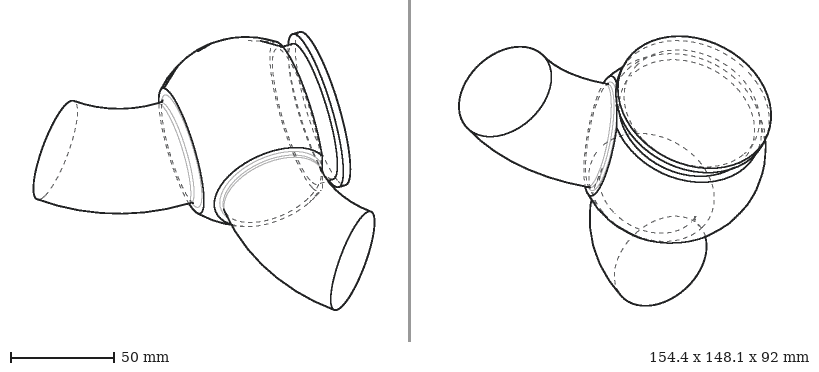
import cadquery as cq
import math

overall_length = 154.4

ball_radius = 46.0
front_face = 33.3
side_face = 35.4
clamp_face = 26.2

pipe_radius = 25.5
bend_radius = 74.1
bend_angle = 45
front_fillet = 3.0
side_fillet = 1.2

pipe_reach = overall_length - ball_radius
bend_start = pipe_reach - (bend_radius + pipe_radius) * math.sin(math.radians(bend_angle))

neck_radius = 34.3
flange_radius = 38.7
flange_end = 39.7
flange_rim = 3.7
flange_taper = 1.4


def bent_pipe():
    """Pipe along +X from the centre, then bending toward +Y."""
    angle = math.radians(bend_angle)

    def on_bend(turn):
        x = bend_start + bend_radius * math.sin(turn)
        y = bend_radius * (1 - math.cos(turn))
        return (x, y)

    path = (
        cq.Workplane("XY")
        .moveTo(bend_start, 0)
        .threePointArc(on_bend(angle / 2), on_bend(angle))
    )
    bend = cq.Workplane("YZ", origin=(bend_start, 0, 0)).circle(pipe_radius).sweep(path)
    straight = cq.Workplane("YZ").circle(pipe_radius).extrude(bend_start)
    return straight.union(bend)


def fillet_collar(face, fillet):
    """Concave ring around +X, from a port flat down to the pipe surface."""
    base_radius = pipe_radius + fillet
    end = face + fillet
    reach = fillet * (1 - math.sqrt(0.5))
    return (
        cq.Workplane("XY")
        .moveTo(0, 0)
        .lineTo(0, base_radius)
        .lineTo(face, base_radius)
        .threePointArc((face + reach, pipe_radius + reach), (end, pipe_radius))
        .lineTo(end, 0)
        .close()
        .revolve(360, (0, 0, 0), (1, 0, 0))
    )


def toward_front(solid):
    """Turn a +X port to -Y, so its bend leads toward -X."""
    return solid.mirror("XZ").rotate((0, 0, 0), (0, 0, 1), -90)


def clamp_ferrule():
    rim_start = flange_end - flange_rim
    return (
        cq.Workplane("XY")
        .moveTo(0, 0)
        .lineTo(neck_radius, 0)
        .lineTo(neck_radius, rim_start - flange_taper)
        .lineTo(flange_radius, rim_start)
        .lineTo(flange_radius, flange_end)
        .lineTo(0, flange_end)
        .close()
        .revolve(360, (0, 0, 0), (0, 1, 0))
    )


width = ball_radius + side_face
depth = front_face + clamp_face
height = 2 * ball_radius
flats = cq.Workplane("XY").box(width, depth, height).translate(
    ((side_face - ball_radius) / 2, (clamp_face - front_face) / 2, 0)
)
ball = cq.Workplane("XY").sphere(ball_radius).intersect(flats)

below_clamp = cq.Workplane("XZ", origin=(0, clamp_face, 0)).rect(height * 2, height).extrude(depth)
side_collar = fillet_collar(side_face, side_fillet).intersect(below_clamp)
front_collar = toward_front(fillet_collar(front_face, front_fillet))

result = (
    ball.union(side_collar)
    .union(front_collar)
    .union(bent_pipe())
    .union(toward_front(bent_pipe()))
    .union(clamp_ferrule())
)